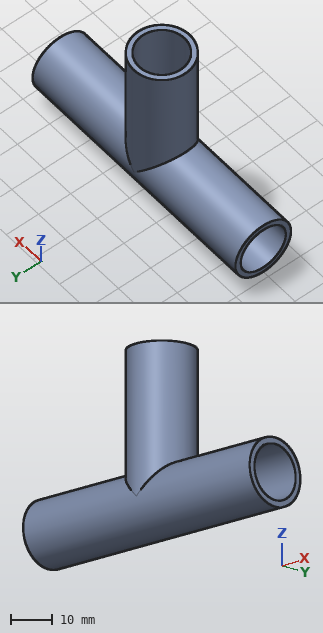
import cadquery as cq

run_length = 76.2
branch_height = run_length / 2
outer_diameter = 17.3
bore_diameter = 14.0


def tee_of_cylinders(diameter):
    """Solid run and branch of one diameter, with axes meeting at the origin."""
    run = cq.Workplane("YZ").circle(diameter / 2).extrude(run_length / 2, both=True)
    branch = cq.Workplane("XY").circle(diameter / 2).extrude(branch_height)
    return run.union(branch)


outside = tee_of_cylinders(outer_diameter)
passages = tee_of_cylinders(bore_diameter)

result = outside.cut(passages)